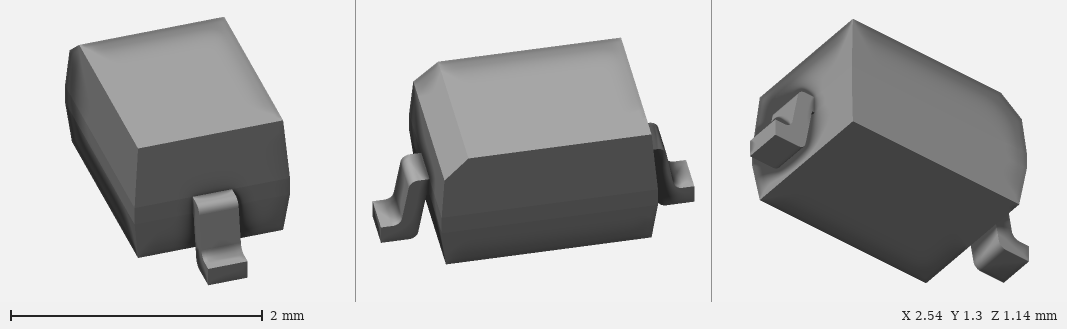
import cadquery as cq
import math

length = 1.753
width = 1.3
bottom_z = 0.069
top_z = 1.14
draft_inset = 0.043
bevel_top_x = -0.65
bevel_low_x = -0.845
bevel_low_z = 0.958

lead_span = 2.54
lead_width = 0.33
lead_thickness = 0.16
lead_top_z = 0.597
lead_under_z = lead_top_z - lead_thickness
shank_angle = 10.0
bend_radius = 0.075
shoulder_inner_x = 0.902


def make_frustum(start_z, end_z):
    """Block with the full outline at start_z and the inset outline at end_z."""
    return (
        cq.Workplane("XY", origin=(0, 0, start_z))
        .rect(length, width)
        .workplane(offset=end_z - start_z)
        .rect(length - 2 * draft_inset, width - 2 * draft_inset)
        .loft(ruled=True)
    )


def make_bevel_cutter():
    """Wedge outside the polarity bevel, extended past the housing on every side."""
    clearance = 0.127
    slope = (top_z - bevel_low_z) / (bevel_top_x - bevel_low_x)
    low_x = bevel_low_x - clearance
    high_x = bevel_top_x + clearance
    high_z = top_z + slope * clearance
    return (
        cq.Workplane("XZ")
        .moveTo(low_x, bevel_low_z - slope * clearance)
        .lineTo(high_x, high_z)
        .lineTo(low_x, high_z)
        .close()
        .extrude(width, both=True)
    )


def make_housing():
    """Straight middle band with drafted upper and lower halves."""
    band = cq.Workplane("XY", origin=(0, 0, lead_under_z)).rect(length, width).extrude(lead_thickness)
    upper = make_frustum(lead_top_z, top_z).cut(make_bevel_cutter())
    lower = make_frustum(lead_under_z, bottom_z)
    return band.union(upper).union(lower)


def make_lead(side):
    """Gull-wing lead butting against the housing end; side is -1 for -X or 1 for +X."""
    lean = math.tan(math.radians(shank_angle))
    shoulder_outer_x = shoulder_inner_x + lead_thickness - lead_thickness * lean
    foot_top_x = shoulder_outer_x + (lead_top_z - lead_thickness) * lean
    foot_bottom_x = shoulder_inner_x + lead_under_z * lean
    bend_turn = math.radians(90 - shank_angle)
    tangent = bend_radius * math.tan(bend_turn / 2)
    shank_dx = tangent * math.sin(math.radians(shank_angle))
    shank_dz = tangent * math.cos(math.radians(shank_angle))
    arc_gap = bend_radius * (1 / math.cos(bend_turn / 2) - 1)
    bisector = math.radians(45 + shank_angle / 2)
    arc_dx = arc_gap * math.cos(bisector)
    arc_dz = arc_gap * math.sin(bisector)

    def point(x, z):
        return (side * x, z)

    profile = (
        cq.Workplane("XZ")
        .moveTo(*point(length / 2, lead_top_z))
        .lineTo(*point(shoulder_outer_x - tangent, lead_top_z))
        .threePointArc(
            point(shoulder_outer_x - arc_dx, lead_top_z - arc_dz),
            point(shoulder_outer_x + shank_dx, lead_top_z - shank_dz),
        )
        .lineTo(*point(foot_top_x - shank_dx, lead_thickness + shank_dz))
        .threePointArc(
            point(foot_top_x + arc_dx, lead_thickness + arc_dz),
            point(foot_top_x + tangent, lead_thickness),
        )
        .lineTo(*point(lead_span / 2, lead_thickness))
        .lineTo(*point(lead_span / 2, 0))
        .lineTo(*point(foot_bottom_x + tangent, 0))
        .threePointArc(
            point(foot_bottom_x + arc_dx, arc_dz),
            point(foot_bottom_x - shank_dx, shank_dz),
        )
        .lineTo(*point(shoulder_inner_x, lead_under_z))
        .lineTo(*point(length / 2, lead_under_z))
        .close()
    )
    return profile.extrude(lead_width / 2, both=True)


housing = make_housing()
leads = [make_lead(side) for side in (-1, 1)]

result = cq.Compound.makeCompound([housing.val(), *[lead.val() for lead in leads]])